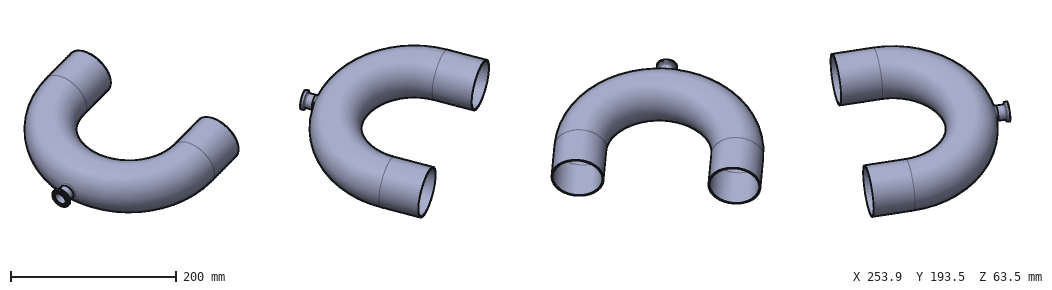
import cadquery as cq

tube_od = 63.5
tube_id = 60.2
bend_radius = 95.2
leg_length = 50.8
crown_y = -(bend_radius + tube_od / 2)

neck_od = 19.0
port_bore = 15.7
collar_height = 1.65
collar_fillet = 1.3
collar_end_y = crown_y - collar_height

port_height = 15.7
flange_od = 25.0
rim_thickness = 3.5
flange_thickness = 4.5
rim_fillet = 0.5
neck_fillet = 1.0
face_y = crown_y - port_height

groove_outer_d = 23.4
groove_floor_outer_d = 21.8
groove_floor_inner_d = 19.0
groove_inner_d = 17.5
groove_depth = 0.8


def u_rod(diameter):
    """Solid rod that follows the U: leg, half-circle bend, leg."""
    path = (
        cq.Workplane("XY")
        .moveTo(-bend_radius, leg_length)
        .lineTo(-bend_radius, 0)
        .threePointArc((0, -bend_radius), (bend_radius, 0))
        .lineTo(bend_radius, leg_length)
    )
    leg_end = cq.Plane(origin=(-bend_radius, leg_length, 0), xDir=(1, 0, 0), normal=(0, -1, 0))
    return cq.Workplane(leg_end).circle(diameter / 2).sweep(path)


def port_cylinder(diameter, start_y):
    """Cylinder on the port axis, from start_y to the centreline of the bend."""
    start = cq.Plane(origin=(0, start_y, 0), xDir=(1, 0, 0), normal=(0, 1, 0))
    return cq.Workplane(start).circle(diameter / 2).extrude(-bend_radius - start_y)


def revolve_about_port(points):
    """Ring or disc swept round the port axis from (radius, y) corners."""
    return cq.Workplane("XY").polyline(points).close().revolve(360, (0, 0, 0), (0, 1, 0))


def ring_at(ring_y):
    """Selector for the circular edges centred on the port axis at ring_y."""
    reach = 0.13
    return cq.selectors.BoxSelector((-reach, ring_y - reach, -reach), (reach, ring_y + reach, reach))


def make_tube():
    """Hollow U-bend with a filleted, bored collar on its crown."""
    outside = u_rod(tube_od).union(port_cylinder(neck_od, collar_end_y))
    collar_foot = cq.selectors.BoxSelector(
        (-neck_od / 2, crown_y - collar_height / 2, -neck_od / 2),
        (neck_od / 2, -bend_radius, neck_od / 2),
    )
    outside = outside.edges(collar_foot).fillet(collar_fillet)
    return outside.cut(u_rod(tube_id)).cut(port_cylinder(port_bore, collar_end_y))


def make_ferrule():
    """Flanged neck with a gasket groove in its clamping face."""
    bore_r = port_bore / 2
    neck_r = neck_od / 2
    flange_r = flange_od / 2
    body = revolve_about_port([
        (bore_r, face_y),
        (flange_r, face_y),
        (flange_r, face_y + rim_thickness),
        (neck_r, face_y + flange_thickness),
        (neck_r, collar_end_y),
        (bore_r, collar_end_y),
    ])
    body = body.edges(ring_at(face_y + rim_thickness)).fillet(rim_fillet)
    body = body.edges(ring_at(face_y + flange_thickness)).fillet(neck_fillet)
    groove = revolve_about_port([
        (groove_inner_d / 2, face_y),
        (groove_outer_d / 2, face_y),
        (groove_floor_outer_d / 2, face_y + groove_depth),
        (groove_floor_inner_d / 2, face_y + groove_depth),
    ])
    return body.cut(groove)


tube = make_tube()
ferrule = make_ferrule()
result = cq.Compound.makeCompound([tube.val(), ferrule.val()])